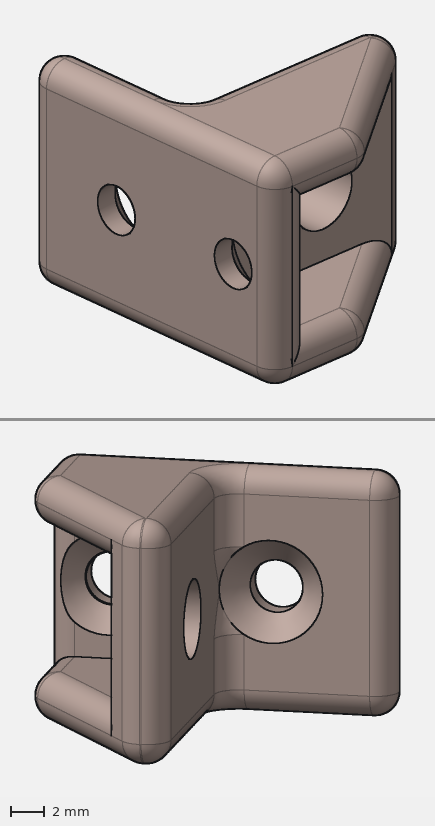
import cadquery as cq
import math

length = 21.0
depth = 18.0
height = 15.0

wall = 3.0
rounding_gap = 1e-4
edge_radius = wall / 2 - rounding_gap

screw_hole_diameter = 3.2
countersink_diameter = 6.3
first_screw_x = 7.5
screw_spacing = 10.0
screw_hole_x = (first_screw_x, first_screw_x + screw_spacing)
screw_hole_z = 7.57

cross_hole_diameter = 4.8
cross_hole_y = 10.5
cross_hole_z = height / 2

countersink_radius = countersink_diameter / 2
upright_left = screw_hole_x[0] + countersink_radius
upright_right = screw_hole_x[1] - countersink_radius

plate_axis_y = edge_radius
gusset_axis_z = (edge_radius, height - edge_radius)

slope_top_x = 12.98
slope_right_y = 7.36

blend_axis_x = upright_left - edge_radius
blend_axis_y = wall + edge_radius
relief_section_count = 9


def block(x_range, y_range, z_range):
    (x_low, x_high), (y_low, y_high), (z_low, z_high) = x_range, y_range, z_range
    size = (x_high - x_low, y_high - y_low, z_high - z_low)
    return cq.Workplane("XY").box(*size, centered=False).translate((x_low, y_low, z_low))


def envelope():
    """Solid block under the whole outer surface, with every edge rounded."""
    outline = [
        (0, 0),
        (length, 0),
        (length, slope_right_y),
        (slope_top_x, depth),
        (upright_left, depth),
        (upright_left, wall),
        (0, wall),
    ]
    return cq.Workplane("XY").polyline(outline).close().extrude(height).edges().fillet(edge_radius)


def hollow(solid):
    """Empty the space enclosed by the upright and the outer halves of plate and gussets."""
    return solid.cut(block((upright_right, 2 * length), (plate_axis_y, 2 * depth), gusset_axis_z))


def plate_backing(solid):
    """Inner half of the plate between the gussets, a mirror image of its outer half."""
    outer_half = solid.intersect(block((upright_right, length), (0, plate_axis_y), gusset_axis_z))
    return outer_half.mirror("XZ", (0, wall / 2, 0))


def gusset_backing(solid, axis_z, outer_z):
    """Inner half of a gusset, a mirror image of its outer half."""
    z_range = (min(axis_z, outer_z), max(axis_z, outer_z))
    outer_half = solid.intersect(block((upright_right, length), (plate_axis_y, depth), z_range))
    return outer_half.mirror("XY", (0, 0, axis_z))


def countersink_relief(side):
    """Half of the dip in the blend, which rests on the countersink rim instead of the plate."""
    reach = blend_axis_x - first_screw_x
    half_height = math.sqrt(countersink_radius**2 - reach**2)
    diagonal = edge_radius * math.sqrt(0.5)
    top_y = blend_axis_y + edge_radius
    sections = []
    for index in range(relief_section_count):
        offset = half_height * index / (relief_section_count - 1)
        rim_x = math.sqrt(countersink_radius**2 - offset**2) - reach
        rise = math.sqrt(max(edge_radius**2 - rim_x**2, 0))
        base_y = wall + rise - edge_radius
        section = (
            cq.Workplane("XY", origin=(blend_axis_x, base_y, screw_hole_z + side * offset))
            .threePointArc((diagonal, edge_radius - diagonal), (edge_radius, edge_radius))
            .lineTo(edge_radius, top_y - base_y)
            .lineTo(0, top_y - base_y)
            .close()
        )
        sections.append(section.val())
    relief = cq.Workplane(cq.Solid.makeLoft(sections))
    return relief.intersect(block((0, length), (wall, depth), (0, height)))


def screw_hole(x):
    """Through hole with a 90 degree countersink that opens on the inner face of the plate."""
    hole_radius = screw_hole_diameter / 2
    cone_depth = countersink_radius - hole_radius
    profile = (
        cq.Workplane("XY")
        .lineTo(hole_radius, 0)
        .lineTo(hole_radius, wall - cone_depth)
        .lineTo(countersink_radius, wall)
        .lineTo(0, wall)
        .close()
    )
    return profile.revolve(360, (0, 0), (0, 1)).translate((x, 0, screw_hole_z))


def cross_hole():
    return (
        cq.Workplane("YZ", origin=(upright_left, cross_hole_y, cross_hole_z))
        .circle(cross_hole_diameter / 2)
        .extrude(upright_right - upright_left)
    )


rounded_block = envelope()
result = hollow(rounded_block)
for side in (-1, 1):
    result = result.cut(countersink_relief(side))
result = result.union(plate_backing(rounded_block))
for axis_z, outer_z in zip(gusset_axis_z, (0, height)):
    result = result.union(gusset_backing(rounded_block, axis_z, outer_z), clean=False)
for x in screw_hole_x:
    result = result.cut(screw_hole(x), clean=False)
result = result.cut(cross_hole(), clean=False).solids()